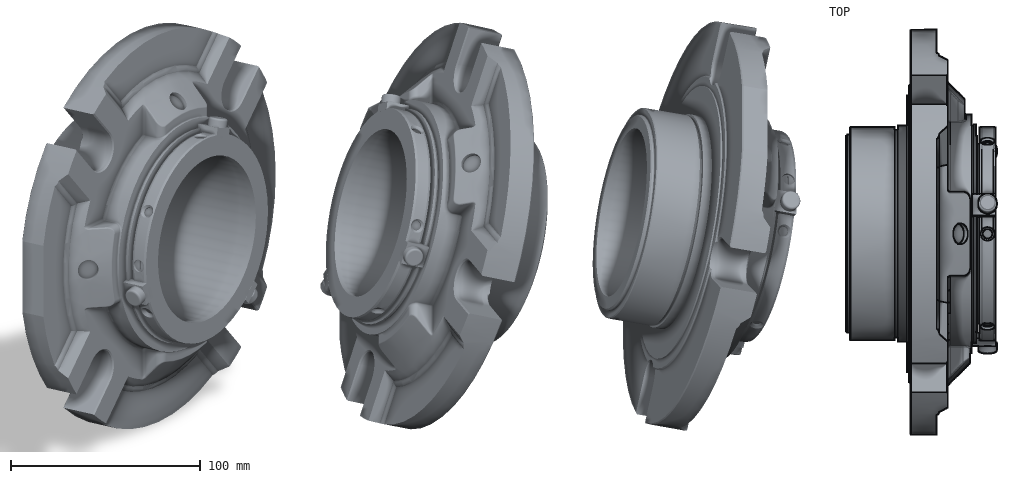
import cadquery as cq
import math


TOLERANCE = 0.05

BORE_DIA = 89.99
SLEEVE_DIA = 95.23
NOSE_DIA = 104.76
NOSE_FACE_DIA = 103.17
NOSE_END_X = 2.0
SPIGOT_DIA = 112.7
SPIGOT_CHAMFER = 0.5
GROOVE_START_X = 25.7
GROOVE_END_X = 27.3
GROOVE_DIA = 109.75
SHOULDER_DIA = 114.25

FLANGE_DIA = 215.65
FLANGE_FLAT_Y = -105.995
FLANGE_FRONT_X = 33.8
FLANGE_BACK_X = 47.8
FLANGE_CHAMFER = 0.6
GASKET_FACE_X = 32.1
GASKET_FACE_DIA = 146.05
GASKET_STEP_X = 33.0
GASKET_STEP_DIA = 157.6
GASKET_STEP_CHAMFER = 0.8

SLOT_ANGLES = (45, 135, 225, 315)
SLOT_WIDTH = 21.7
SLOT_BOTTOM_RADIUS = 75.4
SLOT_CENTRE_RADIUS = SLOT_BOTTOM_RADIUS + SLOT_WIDTH / 2
PAD_TOP_X = 53.7
PAD_TOP_HALF_WIDTH = 24.6
PAD_BASE_HALF_WIDTH = PAD_TOP_HALF_WIDTH + PAD_TOP_X - FLANGE_BACK_X
SLOT_BACK_CHAMFER = 0.7

CONE_ANGLE = math.radians(45)
BACK_BLEND_RADIUS = 4.5
BACK_BLEND_REACH = BACK_BLEND_RADIUS * math.tan(CONE_ANGLE / 2)
BACK_BLEND_RISE = BACK_BLEND_REACH * math.sin(CONE_ANGLE)

FLOOR_BOTTOM_X = PAD_TOP_X - 2.0
FLOOR_DIA = 210.0
FLOOR_FILLET = 1.3
DRUM_DIA = 126.0
DRUM_END_X = 66.2
CONE_X_PLUS_RADIUS = 133.7
LOBE_HALF_WIDTH = 22.2
LOBE_ENVELOPE_RADIUS = 95.0
LOBE_CORNER_RADIUS = 3.8
LOBE_EDGE_FILLET = 0.8
DRUM_ROOT_FILLET = 0.7
LOBE_END_X = 65.4
SHORT_LOBE_END_X = 62.7
LOBES = ((0, SHORT_LOBE_END_X), (90, LOBE_END_X), (180, LOBE_END_X), (270, LOBE_END_X))

PORTS = ((0, 56.5), (90, 60.4), (180, 56.5))
PORT_DIA = 11.0
PORT_DEPTH = 3.0

END_RING_START_X = 67.3
END_RING_END_X = 68.6
END_RING_DIA = 115.77
NECK_DIA = 103.17
NECK_END_X = 69.2

COLLAR_DIA = 113.03
COLLAR_WIDTH = 8.6
COLLAR_CENTRE_X = 74.63
COLLAR_START_X = COLLAR_CENTRE_X - COLLAR_WIDTH / 2
COLLAR_END_X = COLLAR_CENTRE_X + COLLAR_WIDTH / 2
COLLAR_BEVEL_WIDTH = 1.2
COLLAR_BEVEL_DROP = 0.4

SCREW_ANGLES = (30, 90, 150, 210, 270, 330)
SCREW_DIA = 5.0
SCREW_RECESS_DIA = 7.4
SCREW_RECESS_DEPTH = 1.3
SCREW_DEPTH = 2.2
PIN_ANGLE = 180
PIN_RECESS_DIA = 6.8
PIN_SLOT_WIDTH = 1.0
PIN_SLOT_LENGTH = 5.0
PIN_SLOT_DEPTH = 1.0

CLIP_ANGLES = (75, 195, 315)
CLIP_WIDTH = 11.6
CLIP_START_X = 66.5
CLIP_END_X = 79.0
CLIP_TOP_RADIUS = 59.7
CLIP_BOTTOM_RADIUS = 55.5
HEAD_DIA = 10.0
HEAD_TOP_RADIUS = 64.4
HEAD_EDGE_RADIUS = 1.1


def farthest_radius(edge):
    """Largest distance from the shaft axis to either end or the middle of an edge."""
    return max(math.hypot(p.y, p.z) for p in edge.positions([0, 0.5, 1]))


def around_shaft(shape, angle):
    """Turn a shape built along +Y to the given angle around the shaft."""
    return shape.rotate((0, 0, 0), (1, 0, 0), angle)


def ring(start_x, end_x, diameter):
    """Solid disc on the shaft axis."""
    return cq.Workplane("YZ", origin=(start_x, 0, 0)).circle(diameter / 2).extrude(end_x - start_x)


def block(start_x, end_x, inner_radius, outer_radius, width):
    """Box reaching outwards along +Y, centred on the XY plane."""
    size = (end_x - start_x, outer_radius - inner_radius, width)
    centre = ((start_x + end_x) / 2, (inner_radius + outer_radius) / 2, 0)
    return cq.Workplane("XY").box(*size).translate(centre)


def radial_cylinder(centre_x, inner_radius, outer_radius, diameter):
    """Cylinder whose axis runs along +Y."""
    plane = cq.Workplane("XZ", origin=(centre_x, inner_radius, 0))
    return plane.circle(diameter / 2).extrude(inner_radius - outer_radius)


def inboard_spigot():
    nose = ring(0, NOSE_END_X, NOSE_DIA).faces("<X").chamfer((NOSE_DIA - NOSE_FACE_DIA) / 2)
    main = ring(NOSE_END_X, GROOVE_START_X, SPIGOT_DIA).faces("<X").chamfer(SPIGOT_CHAMFER)
    groove = ring(GROOVE_START_X, GROOVE_END_X, GROOVE_DIA)
    shoulder = ring(GROOVE_END_X, GASKET_FACE_X, SHOULDER_DIA)
    return nose.union(main).union(groove).union(shoulder)


def slot_pad():
    """Pad with sloping sides that blend into the flange, narrow at its top."""
    root_x = FLANGE_BACK_X - FLANGE_CHAMFER
    blend_foot = PAD_BASE_HALF_WIDTH + BACK_BLEND_REACH
    half_section = (
        cq.Workplane("XZ")
        .moveTo(root_x, 0)
        .lineTo(root_x, blend_foot)
        .lineTo(FLANGE_BACK_X, blend_foot)
        .radiusArc(
            (FLANGE_BACK_X + BACK_BLEND_RISE, PAD_BASE_HALF_WIDTH - BACK_BLEND_RISE),
            BACK_BLEND_RADIUS,
        )
        .lineTo(PAD_TOP_X, PAD_TOP_HALF_WIDTH)
        .lineTo(PAD_TOP_X, 0)
        .close()
        .extrude(-FLANGE_DIA / 2)
    )
    return half_section.union(half_section.mirror("XY"))


def bolt_slot():
    mouth = block(0, DRUM_END_X, SLOT_CENTRE_RADIUS, FLANGE_DIA, SLOT_WIDTH)
    bottom = ring(0, DRUM_END_X, SLOT_WIDTH).translate((0, SLOT_CENTRE_RADIUS, 0))
    return mouth.union(bottom)


def cut_bolt_slots(body):
    for angle in SLOT_ANGLES:
        body = body.cut(around_shaft(bolt_slot(), angle))
    return body


def flange():
    plate = ring(FLANGE_FRONT_X, FLANGE_BACK_X, FLANGE_DIA)
    rim = ring(FLANGE_FRONT_X, PAD_TOP_X, FLANGE_DIA)
    for angle in SLOT_ANGLES:
        plate = plate.union(around_shaft(slot_pad(), angle).intersect(rim))
    return plate.cut(block(0, PAD_TOP_X, -FLANGE_DIA, FLANGE_FLAT_Y, FLANGE_DIA))


def gasket_step():
    step = ring(GASKET_STEP_X, FLANGE_FRONT_X + FLANGE_CHAMFER, GASKET_STEP_DIA)
    step = step.faces("<X").chamfer(GASKET_STEP_CHAMFER)
    return step.union(ring(GASKET_FACE_X, GASKET_STEP_X, GASKET_FACE_DIA))


def housing_cone(end_x):
    """45 degree cone blended into the back of the flange, narrowing outboard to end_x."""
    root_x = FLANGE_BACK_X - FLANGE_CHAMFER
    root_radius = CONE_X_PLUS_RADIUS - FLANGE_BACK_X
    return (
        cq.Workplane("XY")
        .moveTo(root_x, 0)
        .lineTo(root_x, root_radius + BACK_BLEND_REACH)
        .lineTo(FLANGE_BACK_X, root_radius + BACK_BLEND_REACH)
        .radiusArc(
            (FLANGE_BACK_X + BACK_BLEND_RISE, root_radius - BACK_BLEND_RISE),
            BACK_BLEND_RADIUS,
        )
        .lineTo(end_x, CONE_X_PLUS_RADIUS - end_x)
        .lineTo(end_x, 0)
        .close()
        .revolve(360, (0, 0, 0), (1, 0, 0))
    )


def lobe_envelope(angle, end_x):
    """Parallel-sided lobe with rounded outboard corners, before the cone trims it."""
    envelope = block(FLOOR_BOTTOM_X, end_x, 0, LOBE_ENVELOPE_RADIUS, 2 * LOBE_HALF_WIDTH)
    return around_shaft(envelope.edges(">X and |Y").fillet(LOBE_CORNER_RADIUS), angle)


def is_drum_root(edge):
    return abs(farthest_radius(edge) - DRUM_DIA / 2) < TOLERANCE


def is_floor_root(edge):
    box = edge.BoundingBox()
    on_floor = abs(box.xmin - PAD_TOP_X) < TOLERANCE and box.xlen < TOLERANCE
    return on_floor and farthest_radius(edge) < FLOOR_DIA / 2 - TOLERANCE


def is_above_floor_fillet(edge):
    box = edge.BoundingBox()
    return box.xmin > PAD_TOP_X + TOLERANCE and box.xmax > PAD_TOP_X + FLOOR_FILLET


def housing():
    """Drum and lobes standing on the pocket floor, trimmed to the cone, all edges rounded."""
    body = ring(FLOOR_BOTTOM_X, PAD_TOP_X, FLOOR_DIA)
    body = body.union(ring(FLOOR_BOTTOM_X, DRUM_END_X, DRUM_DIA))
    for angle, end_x in LOBES:
        body = body.union(lobe_envelope(angle, end_x))
    body = body.edges("|X").filter(is_drum_root).fillet(DRUM_ROOT_FILLET)
    body = body.edges().filter(is_floor_root).fillet(FLOOR_FILLET)
    body = body.intersect(housing_cone(DRUM_END_X))
    body = body.faces("%CONE").edges().filter(is_above_floor_fillet).fillet(LOBE_EDGE_FILLET)
    return body.union(housing_cone(PAD_TOP_X))


def port(angle, centre_x):
    """Blind hole cut square to the cone surface."""
    mouth = cq.Vector(centre_x, CONE_X_PLUS_RADIUS - centre_x, 0)
    outward = cq.Vector(1, 1, 0).normalized()
    start = mouth - outward * PORT_DEPTH
    drill = cq.Solid.makeCylinder(PORT_DIA / 2, PORT_DEPTH + PORT_DIA, start, outward)
    return around_shaft(cq.Workplane(drill), angle)


def is_slot_back_edge(edge):
    """True for the slot edges on the pad tops, which lie within half a slot width of its axis."""
    box = edge.BoundingBox()
    on_pad_top = abs(box.xmin - PAD_TOP_X) < TOLERANCE and box.xlen < TOLERANCE
    middle = edge.positionAt(0.5)
    off_diagonal = abs(abs(middle.y) - abs(middle.z)) / math.sqrt(2)
    outside_drum = math.hypot(middle.y, middle.z) > SLOT_BOTTOM_RADIUS - TOLERANCE
    return on_pad_top and outside_drum and off_diagonal < SLOT_WIDTH / 2 + TOLERANCE


def casting():
    """Flange and housing in one piece, with the bolt slots and ports cut."""
    body = flange().union(housing())
    body = cut_bolt_slots(body)
    body = body.faces("<X").chamfer(FLANGE_CHAMFER)
    body = body.edges().filter(is_slot_back_edge).chamfer(SLOT_BACK_CHAMFER)
    body = body.union(cut_bolt_slots(gasket_step()))
    for angle, centre_x in PORTS:
        body = body.cut(port(angle, centre_x))
    return body


def end_ring():
    neck = ring(DRUM_END_X, NECK_END_X, NECK_DIA)
    neck = neck.union(ring(DRUM_END_X, END_RING_START_X, SHOULDER_DIA))
    return neck.union(ring(END_RING_START_X, END_RING_END_X, END_RING_DIA))


def set_screw_recess():
    """Countersunk mouth leading to a screw that sits below the collar surface."""
    surface = COLLAR_DIA / 2
    hole = radial_cylinder(COLLAR_CENTRE_X, surface - SCREW_DEPTH, surface, SCREW_DIA)
    cone = cq.Solid.makeCone(
        SCREW_DIA / 2,
        SCREW_RECESS_DIA / 2,
        SCREW_RECESS_DEPTH,
        cq.Vector(COLLAR_CENTRE_X, surface - SCREW_RECESS_DEPTH, 0),
        cq.Vector(0, 1, 0),
    )
    return hole.union(cq.Workplane(cone))


def pin_recess():
    """Recess over the drive pin, with the pin's screwdriver slot in its floor."""
    floor = COLLAR_DIA / 2 - SCREW_RECESS_DEPTH
    recess = radial_cylinder(COLLAR_CENTRE_X, floor, COLLAR_DIA, PIN_RECESS_DIA)
    slot = block(
        COLLAR_CENTRE_X - PIN_SLOT_WIDTH / 2,
        COLLAR_CENTRE_X + PIN_SLOT_WIDTH / 2,
        floor - PIN_SLOT_DEPTH,
        COLLAR_DIA / 2,
        PIN_SLOT_LENGTH,
    )
    return recess.union(slot)


def collar():
    edge_radius = COLLAR_DIA / 2 - COLLAR_BEVEL_DROP
    outline = [
        (COLLAR_START_X, 0),
        (COLLAR_START_X, edge_radius),
        (COLLAR_START_X + COLLAR_BEVEL_WIDTH, COLLAR_DIA / 2),
        (COLLAR_END_X - COLLAR_BEVEL_WIDTH, COLLAR_DIA / 2),
        (COLLAR_END_X, edge_radius),
        (COLLAR_END_X, 0),
    ]
    body = cq.Workplane("XY").polyline(outline).close().revolve(360, (0, 0, 0), (1, 0, 0))
    for angle in SCREW_ANGLES:
        body = body.cut(around_shaft(set_screw_recess(), angle))
    return body.cut(around_shaft(pin_recess(), PIN_ANGLE))


def setting_clip():
    """Plate over the collar, hooked down behind it onto the end ring, with its screw head."""
    plate = block(CLIP_START_X, CLIP_END_X, CLIP_BOTTOM_RADIUS, CLIP_TOP_RADIUS, CLIP_WIDTH)
    head = radial_cylinder(COLLAR_CENTRE_X, CLIP_TOP_RADIUS, HEAD_TOP_RADIUS, HEAD_DIA)
    return plate.union(head.faces(">Y").edges().fillet(HEAD_EDGE_RADIUS))


result = casting().union(inboard_spigot()).union(end_ring())
result = result.union(ring(NECK_END_X, COLLAR_START_X, SLEEVE_DIA)).union(collar())
for clip_angle in CLIP_ANGLES:
    result = result.union(around_shaft(setting_clip(), clip_angle))
result = result.cut(ring(0, COLLAR_END_X, BORE_DIA))